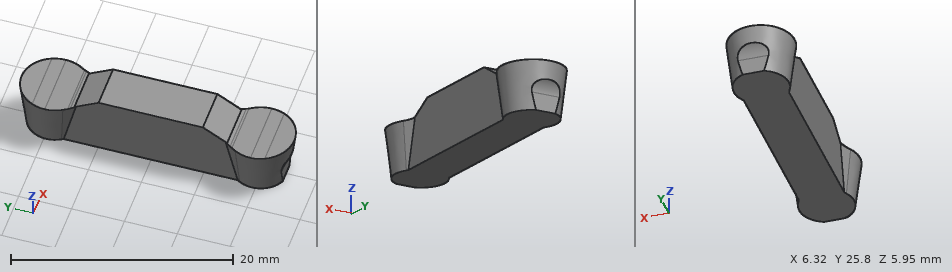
import cadquery as cq
import math

length = 25.8
height = 5.95
body_width = 4.28

head_radius = 3.17
tip_height = 4.65
draft_angle = 7.0
neck_angle = 30.0
head_center = length / 2 - head_radius
base_radius = head_radius - tip_height * math.tan(math.radians(draft_angle))

seat_height = 4.57
ridge_end = 4.93
ramp_foot = 7.23
ramp_angle = 30.0
blend_start = 7.55
blend_height = 4.6
seat_start = 7.77
tip_land_start = 11.0
tip_land_height = 4.6
ramp_foot_height = height - (ramp_foot - ridge_end) * math.tan(math.radians(ramp_angle))

relief_flat = 12.13
relief_flat_height = 1.65
relief_radius = 1.7


def make_top_envelope():
    """Long side profile, wide enough to cap the body and both heads."""
    half = (
        cq.Workplane("YZ")
        .moveTo(0, 0)
        .lineTo(length / 2, 0)
        .lineTo(length / 2, tip_height)
        .lineTo(tip_land_start, tip_land_height)
        .lineTo(head_center, seat_height)
        .lineTo(seat_start, seat_height)
        .lineTo(blend_start, blend_height)
        .tangentArcPoint((ramp_foot, ramp_foot_height), relative=False)
        .lineTo(ridge_end, height)
        .lineTo(0, height)
        .close()
        .extrude(head_radius * 2, both=True)
    )
    return half.union(half.mirror("XZ")).clean()


def make_head():
    """Drafted teardrop: a round nose with two tangent flanks meeting inside the body."""
    angle = math.radians(neck_angle)
    tangent_x = base_radius * math.cos(angle)
    tangent_y = head_center - base_radius * math.sin(angle)
    apex_y = head_center - base_radius / math.sin(angle)
    return (
        cq.Workplane("XY")
        .moveTo(0, apex_y)
        .lineTo(tangent_x, tangent_y)
        .threePointArc((0, head_center + base_radius), (-tangent_x, tangent_y))
        .close()
        .extrude(height, taper=-draft_angle)
    )


def make_relief():
    """Cutter for the relief under the tip, running across the whole head."""
    diagonal = relief_radius * math.sqrt(0.5)
    arc_center = relief_flat + relief_radius
    return (
        cq.Workplane("YZ")
        .moveTo(relief_flat, 0)
        .lineTo(relief_flat, relief_flat_height)
        .threePointArc(
            (arc_center - diagonal, relief_flat_height + diagonal),
            (arc_center, relief_flat_height + relief_radius),
        )
        .lineTo(arc_center, 0)
        .close()
        .extrude(head_radius, both=True)
    )


body = cq.Workplane("XY").box(body_width, 2 * head_center, height, centered=(True, True, False))

head = make_head().cut(make_relief())
result = body.union(head).union(head.mirror("XZ")).intersect(make_top_envelope())